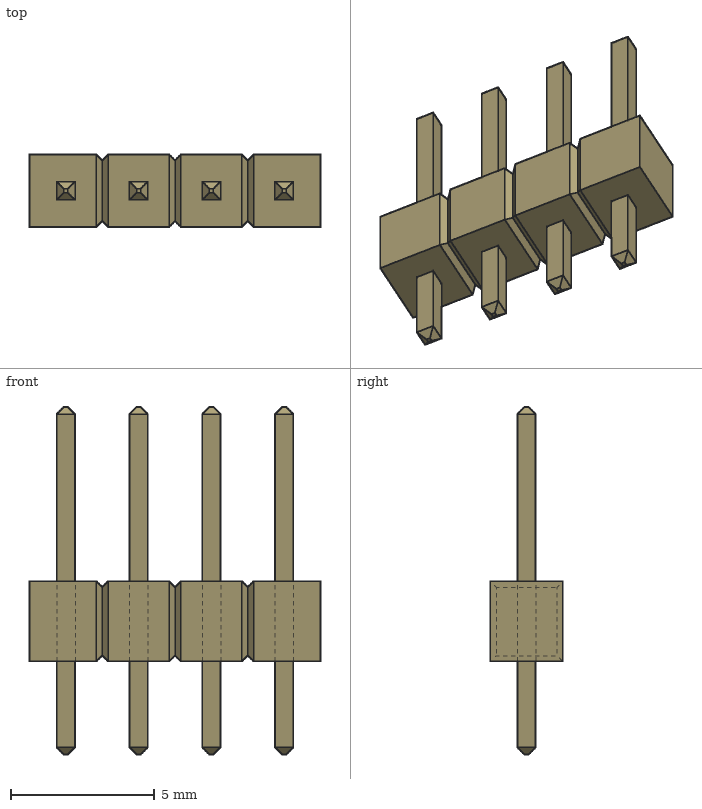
import cadquery as cq

pin_count = 4
total_height = 12.14
header_length = 10.16
housing_depth = 2.54
housing_height = 2.8
pin_width = 0.64
pin_tip_chamfer = 0.25
tail_length = 3.25
groove_chamfer = 0.21

pitch = header_length / pin_count
pin_positions = [(i - (pin_count - 1) / 2) * pitch for i in range(pin_count)]


def make_cell(index):
    """One housing block, bevelled around each face that adjoins another block."""
    cell = (
        cq.Workplane("XY")
        .box(pitch, housing_depth, housing_height, centered=(True, True, False))
        .translate((pin_positions[index], 0, 0))
    )
    if index > 0:
        cell = cell.faces("<X").edges().chamfer(groove_chamfer)
    if index < pin_count - 1:
        cell = cell.faces(">X").edges().chamfer(groove_chamfer)
    return cell


def make_housing():
    """Row of joined blocks with a square through hole for each pin."""
    housing = make_cell(0)
    for index in range(1, pin_count):
        housing = housing.union(make_cell(index))
    pin_holes = (
        cq.Workplane("XY")
        .pushPoints([(x, 0) for x in pin_positions])
        .rect(pin_width, pin_width)
        .extrude(housing_height)
    )
    return housing.cut(pin_holes).solids()


def make_pin(x):
    """Square pin with a blunt pyramid tip at each end."""
    return (
        cq.Workplane("XY")
        .box(pin_width, pin_width, total_height, centered=(True, True, False))
        .faces("<Z or >Z")
        .edges()
        .chamfer(pin_tip_chamfer)
        .translate((x, 0, -tail_length))
        .solids()
    )


housing = make_housing()
pins = [make_pin(x) for x in pin_positions]

result = cq.Compound.makeCompound([housing.val(), *[pin.val() for pin in pins]])